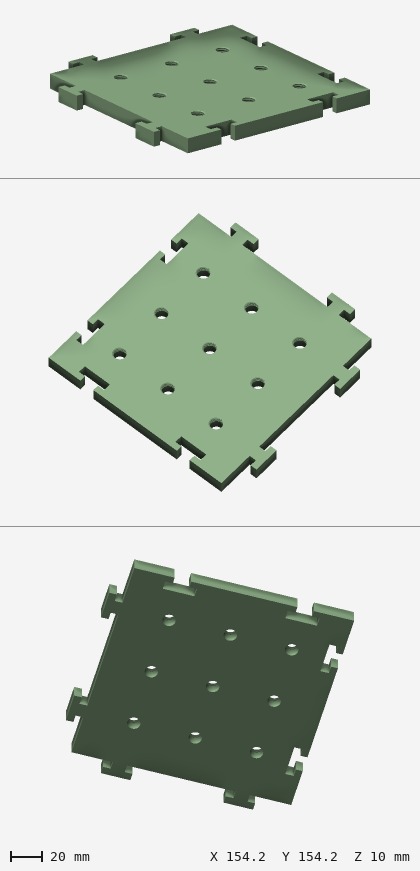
import cadquery as cq

overall = 154.2
thickness = 10.0
tab_reach = 10.0
body = overall - tab_reach
edge = body / 2
grid_spacing = 40.3
grid_positions = (-grid_spacing, 0, grid_spacing)
joint_positions = (-grid_spacing, grid_spacing)

stem_width = 9.3
head_width = 19.3
head_depth = 5.0

slot_depth = 10.0
mouth_width = 10.8
chamber_width = 20.8
chamber_depth = 5.5

minor_diameter = 8.5
major_diameter = 10.2
thread_pitch = 1.5
thread_depth = 3.7
root_flat = thread_pitch / 8
crest_flat = thread_pitch / 4
root_angle = 65.0
bore_overlap = 0.2
spare_turns = 2


def turned(solid, angle):
    """Copy of a solid turned about the Z axis."""
    return solid.rotate((0, 0, 0), (0, 0, 1), angle)


def tee(start, neck_width, bar_width, bar_depth, reach):
    """T-shaped prism pointing towards -X, its neck starting at x = start."""
    end = start - reach
    shoulder = end + bar_depth
    half_outline = [
        (start, neck_width / 2),
        (shoulder, neck_width / 2),
        (shoulder, bar_width / 2),
        (end, bar_width / 2),
    ]
    mirrored = [(x, -y) for x, y in reversed(half_outline)]
    return cq.Workplane("XY").polyline(half_outline + mirrored).close().extrude(thickness)


def thread_groove():
    """Right-handed helical groove on the Z axis, kept to the threaded length."""
    minor_radius = minor_diameter / 2
    major_radius = major_diameter / 2
    root_half = root_flat / 2
    crest_half = (thread_pitch - crest_flat) / 2
    flank_slope = (crest_half - root_half) / (major_radius - minor_radius)
    inner_radius = minor_radius - bore_overlap
    inner_half = crest_half + flank_slope * bore_overlap

    turns = int(thread_depth / thread_pitch) + 1 + spare_turns
    bottom = thickness - (turns - 1) * thread_pitch
    helix = cq.Wire.makeHelix(thread_pitch, turns * thread_pitch, minor_radius)
    groove = (
        cq.Workplane("XZ")
        .polyline([
            (inner_radius, -inner_half),
            (major_radius, -root_half),
            (major_radius, root_half),
            (inner_radius, inner_half),
        ])
        .close()
        .sweep(cq.Workplane(obj=helix), isFrenet=True)
        .translate((0, 0, bottom))
    )
    threaded_zone = (
        cq.Workplane("XY", origin=(0, 0, thickness - thread_depth))
        .circle(major_diameter)
        .extrude(thread_depth + spare_turns * thread_pitch)
    )
    return turned(groove, root_angle).intersect(threaded_zone)


result = cq.Workplane("XY").rect(body, body).extrude(thickness)

tab = tee(-edge, stem_width, head_width, head_depth, tab_reach)
slot = tee(edge, mouth_width, chamber_width, chamber_depth, slot_depth)
for side_angle in (0, 90):
    for offset in joint_positions:
        result = result.union(turned(tab.translate((0, offset, 0)), side_angle))
        result = result.cut(turned(slot.translate((0, offset, 0)), side_angle))

bore = cq.Workplane("XY").circle(minor_diameter / 2).extrude(thickness)
groove = thread_groove()
for x in grid_positions:
    for y in grid_positions:
        result = result.cut(bore.translate((x, y, 0)))
        result = result.cut(groove.translate((x, y, 0)))